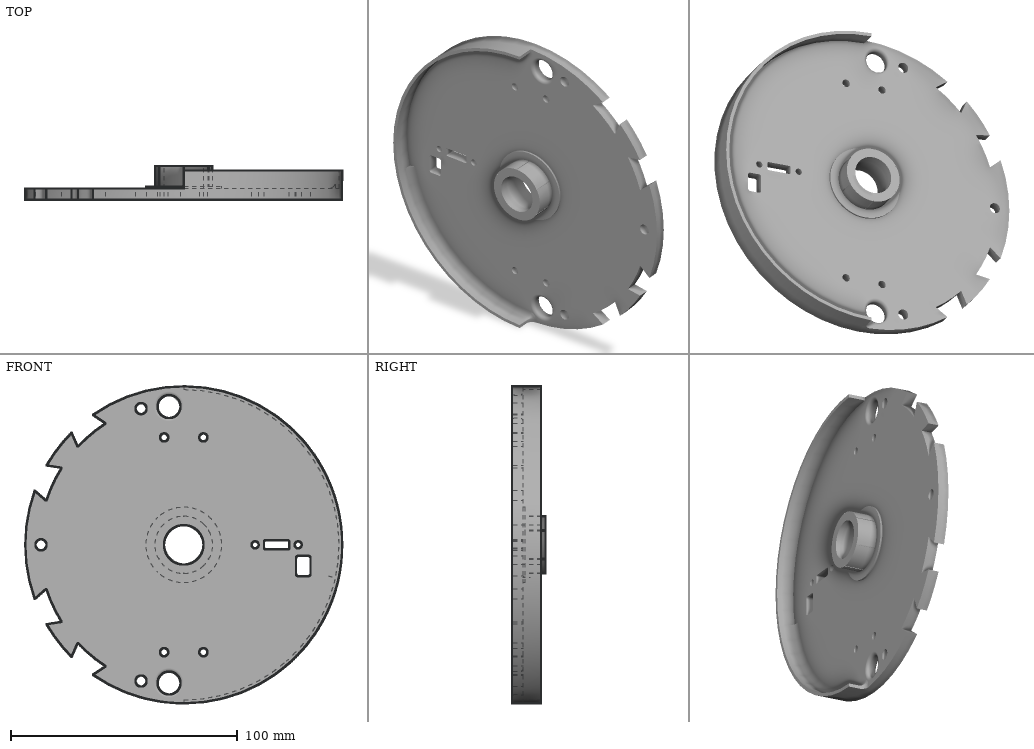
import cadquery as cq
import math

DISC_RADIUS = 70.0
DISC_THICKNESS = 5.0

RIM_TOP = 13.0
RIM_THICKNESS = 1.5
RIM_INNER_RADIUS = DISC_RADIUS - RIM_THICKNESS
RIM_FILLET = 3.0
RIM_FILLET_START_Z = -14.5

HUB_RADIUS = 12.7
HUB_TOP = 15.0
PAD_RADIUS = 16.7
PAD_HEIGHT = 0.9
BORE_DIAMETER = 17.3
HUB_GROOVE_COUNT = 6
HUB_GROOVE_FIRST_ANGLE = 30.0
HUB_GROOVE_WIDTH = 0.4
HUB_GROOVE_DEPTH = 0.3

NOTCH_ANGLES = (130.0, 155.0, 205.0, 230.0)
NOTCH_FLOOR_RADIUS = 63.75
NOTCH_MOUTH_HALF_ANGLE = 5.0
NOTCH_FLOOR_HALF_ANGLE = 7.2

MOUNT_DIAMETER = 4.8
MOUNT_CIRCLE_RADIUS = 63.0
MOUNT_ANGLES = (107.4, 180.0, 252.6)

LARGE_DIAMETER = 10.0
LARGE_EDGE_RADIUS = 1.5
LARGE_X = -6.5
LARGE_Z = 61.0

SCREW_DIAMETER = 3.5
SCREW_X = 8.65
SCREW_Z = 47.4

CONNECTOR_X = 41.0
CONNECTOR_LENGTH = 11.0
CONNECTOR_HEIGHT = 3.9
CONNECTOR_CORNER_RADIUS = 0.5
CONNECTOR_SCREW_DIAMETER = 3.0
CONNECTOR_SCREW_SPACING = 19.0

SWITCH_X = 52.75
SWITCH_Z = -9.35
SWITCH_WIDTH = 6.3
SWITCH_HEIGHT = 8.9
SWITCH_CORNER_RADIUS = 1.0


def polar(radius, angle):
    """Point (x, z) at an angle in degrees measured from +X towards +Z."""
    return (radius * math.cos(math.radians(angle)), radius * math.sin(math.radians(angle)))


def plane_at(y):
    """Sketch plane at height y: local x = X, local y = Z, normal = -Y."""
    return cq.Workplane(cq.Plane(origin=(0, y, 0), xDir=(1, 0, 0), normal=(0, -1, 0)))


def extrude_up(sketch, height):
    """Extrude a sketch towards +Y."""
    return sketch.extrude(-height)


def make_rim():
    """Half ring rising from the back of the disc."""
    height = RIM_TOP - DISC_THICKNESS
    outline = (
        plane_at(DISC_THICKNESS)
        .moveTo(0, -DISC_RADIUS)
        .threePointArc((DISC_RADIUS, 0), (0, DISC_RADIUS))
        .lineTo(0, RIM_INNER_RADIUS)
        .threePointArc((RIM_INNER_RADIUS, 0), (0, -RIM_INNER_RADIUS))
        .close()
    )
    return extrude_up(outline, height)


def foot_profile(wall_x, wall_z):
    """Concave fillet section whose wall stands at wall_x and whose toe points to -X."""
    bend = RIM_FILLET * (1 - math.sqrt(0.5))
    return (
        cq.Workplane("XY", origin=(0, 0, wall_z))
        .moveTo(wall_x, DISC_THICKNESS)
        .lineTo(wall_x, DISC_THICKNESS + RIM_FILLET)
        .threePointArc((wall_x - bend, DISC_THICKNESS + bend), (wall_x - RIM_FILLET, DISC_THICKNESS))
        .close()
    )


def make_rim_foot():
    """Fillet between disc and rim, along the lower part of the rim and round its lower end."""
    start_angle = math.degrees(math.asin(RIM_FILLET_START_Z / RIM_INNER_RADIUS))
    along_rim = (
        foot_profile(RIM_INNER_RADIUS, 0)
        .revolve(90 + start_angle, (0, 0, 0), (0, 1, 0))
        .rotate((0, 0, 0), (0, 1, 0), -start_angle)
    )
    inside_disc = extrude_up(plane_at(DISC_THICKNESS).circle(DISC_RADIUS), RIM_FILLET)
    along_end = foot_profile(0, -RIM_INNER_RADIUS).extrude(-RIM_THICKNESS).intersect(inside_disc)
    corner = foot_profile(0, -RIM_INNER_RADIUS).revolve(90, (0, 0, 0), (0, 1, 0))
    return along_rim.union(along_end).union(corner)


def make_body():
    disc = extrude_up(plane_at(0).circle(DISC_RADIUS), DISC_THICKNESS)
    pad = extrude_up(plane_at(0).circle(PAD_RADIUS), DISC_THICKNESS + PAD_HEIGHT)
    hub = extrude_up(plane_at(0).circle(HUB_RADIUS), HUB_TOP)
    return disc.union(pad).union(hub).union(make_rim()).union(make_rim_foot())


def through(sketch):
    """Cutter running through the full depth of the part."""
    return extrude_up(sketch, HUB_TOP)


def round_holes(points, diameter):
    return through(plane_at(0).pushPoints(points).circle(diameter / 2))


def rounded_opening(x, z, width, height, corner_radius):
    block = through(plane_at(0).center(x, z).rect(width, height))
    return block.edges("|Y").fillet(corner_radius)


def notch(angle):
    """Dovetail cutter: narrow at the disc edge, wide at the curved floor."""
    mouth_start = polar(DISC_RADIUS, angle - NOTCH_MOUTH_HALF_ANGLE)
    mouth_end = polar(DISC_RADIUS, angle + NOTCH_MOUTH_HALF_ANGLE)
    floor_start = polar(NOTCH_FLOOR_RADIUS, angle - NOTCH_FLOOR_HALF_ANGLE)
    floor_end = polar(NOTCH_FLOOR_RADIUS, angle + NOTCH_FLOOR_HALF_ANGLE)
    return through(
        plane_at(0)
        .moveTo(*mouth_start)
        .lineTo(*floor_start)
        .threePointArc(polar(NOTCH_FLOOR_RADIUS, angle), floor_end)
        .lineTo(*mouth_end)
        .threePointArc(polar(DISC_RADIUS, angle), mouth_start)
        .close()
    )


def large_hole(z):
    """Through hole whose front and back edges are rounded over."""
    hole_radius = LARGE_DIAMETER / 2
    mouth_radius = hole_radius + LARGE_EDGE_RADIUS
    bend = LARGE_EDGE_RADIUS * (1 - math.sqrt(0.5))
    return (
        cq.Workplane("XY")
        .moveTo(0, 0)
        .lineTo(mouth_radius, 0)
        .threePointArc((hole_radius + bend, bend), (hole_radius, LARGE_EDGE_RADIUS))
        .lineTo(hole_radius, DISC_THICKNESS - LARGE_EDGE_RADIUS)
        .threePointArc((hole_radius + bend, DISC_THICKNESS - bend), (mouth_radius, DISC_THICKNESS))
        .lineTo(0, DISC_THICKNESS)
        .close()
        .revolve(360, (0, 0, 0), (0, 1, 0))
        .translate((LARGE_X, 0, z))
    )


def hub_groove(angle):
    """Narrow groove along the outside of the hub, above the pad."""
    floor_y = DISC_THICKNESS + PAD_HEIGHT
    groove = plane_at(floor_y).center(HUB_RADIUS, 0).rect(2 * HUB_GROOVE_DEPTH, HUB_GROOVE_WIDTH)
    return extrude_up(groove, HUB_TOP - floor_y).rotate((0, 0, 0), (0, 1, 0), -angle)


result = make_body()

for notch_angle in NOTCH_ANGLES:
    result = result.cut(notch(notch_angle))

for groove_index in range(HUB_GROOVE_COUNT):
    groove_angle = HUB_GROOVE_FIRST_ANGLE + groove_index * 360 / HUB_GROOVE_COUNT
    result = result.cut(hub_groove(groove_angle))

for hole_z in (-LARGE_Z, LARGE_Z):
    result = result.cut(large_hole(hole_z))

mount_points = [polar(MOUNT_CIRCLE_RADIUS, angle) for angle in MOUNT_ANGLES]
screw_points = [(x, z) for x in (-SCREW_X, SCREW_X) for z in (-SCREW_Z, SCREW_Z)]
connector_screw_points = [(CONNECTOR_X + side * CONNECTOR_SCREW_SPACING / 2, 0) for side in (-1, 1)]

result = result.cut(round_holes([(0, 0)], BORE_DIAMETER))
result = result.cut(round_holes(mount_points, MOUNT_DIAMETER))
result = result.cut(round_holes(screw_points, SCREW_DIAMETER))
result = result.cut(round_holes(connector_screw_points, CONNECTOR_SCREW_DIAMETER))
result = result.cut(
    rounded_opening(CONNECTOR_X, 0, CONNECTOR_LENGTH, CONNECTOR_HEIGHT, CONNECTOR_CORNER_RADIUS)
)
result = result.cut(
    rounded_opening(SWITCH_X, SWITCH_Z, SWITCH_WIDTH, SWITCH_HEIGHT, SWITCH_CORNER_RADIUS)
)